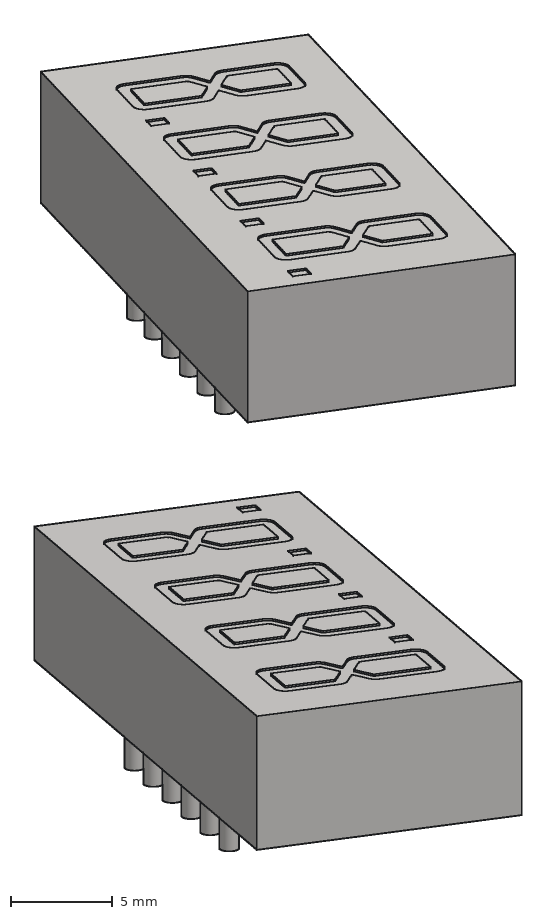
import cadquery as cq

body_length = 30.0
body_width = 14.0
body_height = 7.0

pin_diameter = 1.0
pin_length = 3.0
row_count = 2
pins_per_row = 6
pin_pitch = 2.55
row_spacing = 10.17

digit_count = 4
digit_pitch = 6.85
first_digit_inset = 4.62
first_digit_x = first_digit_inset - body_length / 2
digit_width = 3.48
digit_height = 9.0
digit_top = 4.75
digit_bottom = digit_top - digit_height
corner_radius = 0.6
groove_depth = 0.1

waist_y = 0.42
waist_width = 1.25
slant_slope = 0.67

island_width = 1.98
island_margin = 0.65
tip_gap = 0.35

dot_width = 0.75
dot_height = 0.95


def figure_eight():
    """Solid figure eight: a rounded bar notched at both sides of the waist."""
    half_width = digit_width / 2
    half_waist = waist_width / 2
    shoulder_rise = (half_width - half_waist) * slant_slope
    right_side = [
        (half_width, digit_bottom),
        (half_width, waist_y - shoulder_rise),
        (half_waist, waist_y),
        (half_width, waist_y + shoulder_rise),
        (half_width, digit_top),
    ]
    left_side = [(-x, y) for x, y in reversed(right_side)]
    solid = cq.Workplane("XY").polyline(right_side + left_side).close().extrude(groove_depth)
    return solid.edges("|Z and (<X or >X)").fillet(corner_radius)


def island(end_y, direction):
    """Five-sided island with a flat end and a tip pointing at the waist."""
    half_width = island_width / 2
    tip_y = waist_y + direction * tip_gap
    shoulder_y = tip_y + direction * half_width * slant_slope
    points = [
        (-half_width, end_y),
        (half_width, end_y),
        (half_width, shoulder_y),
        (0, tip_y),
        (-half_width, shoulder_y),
    ]
    return cq.Workplane("XY").polyline(points).close().extrude(groove_depth)


def digit_groove():
    upper_island = island(digit_top - island_margin, 1)
    lower_island = island(digit_bottom + island_margin, -1)
    return figure_eight().cut(upper_island).cut(lower_island)


def decimal_point():
    dot = cq.Workplane("XY").rect(dot_width, dot_height).extrude(groove_depth)
    return dot.translate((digit_pitch / 2, digit_bottom + dot_height / 2, 0))


housing = cq.Workplane("XY").box(
    body_length, body_width, body_height, centered=(True, True, False)
)

pins = (
    cq.Workplane("XY")
    .rarray(pin_pitch, row_spacing, pins_per_row, row_count)
    .circle(pin_diameter / 2)
    .extrude(-pin_length)
)

result = housing.union(pins)

groove = digit_groove()
dot = decimal_point()
for index in range(digit_count):
    position = (first_digit_x + index * digit_pitch, 0, body_height - groove_depth)
    result = result.cut(groove.translate(position)).cut(dot.translate(position))